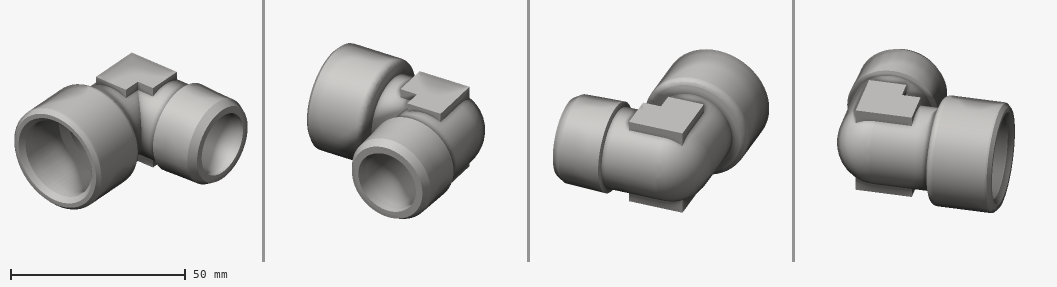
import cadquery as cq
import math

body_radius = 12.0
bore_radius = 9.5

drill_half_angle = math.radians(60)

socket_radius = 16.0
socket_end = 36.5
socket_shoulder = 16.8
socket_shoulder_slope = math.radians(15)
socket_shoulder_round = 2.0
socket_rim_chamfer = 1.08
socket_rim_band_radius = 15.93
socket_rim_band_width = 0.5

thread_radius = 24.12 / 2
thread_depth = 16.7
thread_mouth_radius = 13.5
thread_mouth_half_angle = math.radians(45)

male_end = 32.0
male_shoulder = 16.85
male_shoulder_slope = math.radians(18)
male_peak_radius = 13.44
male_taper = 1 / 32
male_chamfer_length = 2.4
male_chamfer_slope = math.radians(30)

pad_half_height = 13.5
pad_half_width = 5.5
pad_reach = 11.0


def revolve_about_x(outline):
    """Revolve an outline of (position, radius) points about the X axis."""
    return cq.Workplane("XY").polyline(outline).close().revolve(360, (0, 0, 0), (1, 0, 0))


def point_along_minus_y(solid):
    """Turn a solid built along +X so that it points along -Y."""
    return solid.rotate((0, 0, 0), (0, 0, 1), -90)


def round_edge(solid, position, radius):
    """Round the circular edge centred on the X axis at the given position."""
    return solid.edges(cq.NearestToPointSelector((position, 0, 0))).fillet(radius)


def make_body():
    """Two arms joined by a ball that rounds the outer corner."""
    x_arm = cq.Workplane("YZ").circle(body_radius).extrude(male_shoulder)
    y_arm = point_along_minus_y(cq.Workplane("YZ").circle(body_radius).extrude(socket_shoulder))
    ball = cq.Workplane("XY").sphere(body_radius)
    return x_arm.union(y_arm).union(ball)


def make_socket():
    """Female socket with a sloped, rounded shoulder and a chamfered rim."""
    shoulder_corner = socket_shoulder + (socket_radius - body_radius) * math.tan(socket_shoulder_slope)
    rim_corner = socket_end - socket_rim_chamfer
    socket = revolve_about_x([
        (socket_shoulder, 0),
        (socket_shoulder, body_radius),
        (shoulder_corner, socket_radius),
        (rim_corner - socket_rim_band_width, socket_radius),
        (rim_corner, socket_rim_band_radius),
        (socket_end, socket_rim_band_radius - socket_rim_chamfer),
        (socket_end, 0),
    ])
    socket = round_edge(socket, shoulder_corner, socket_shoulder_round)
    return point_along_minus_y(socket)


def make_male_end():
    """Tapered male end with a sloped shoulder and a chamfered tip."""
    peak = male_shoulder + (male_peak_radius - body_radius) * math.tan(male_shoulder_slope)
    chamfer_start = male_end - male_chamfer_length
    chamfer_start_radius = male_peak_radius - (chamfer_start - peak) * male_taper
    tip_radius = chamfer_start_radius - male_chamfer_length * math.tan(male_chamfer_slope)
    return revolve_about_x([
        (male_shoulder, 0),
        (male_shoulder, body_radius),
        (peak, male_peak_radius),
        (chamfer_start, chamfer_start_radius),
        (male_end, tip_radius),
        (male_end, 0),
    ])


def make_pads():
    """L-shaped block whose top and bottom form the two wrench pads."""
    return (
        cq.Workplane("XY")
        .workplane(offset=-pad_half_height)
        .moveTo(-pad_half_width, pad_half_width)
        .lineTo(pad_reach, pad_half_width)
        .lineTo(pad_reach, -pad_half_width)
        .lineTo(pad_half_width, -pad_half_width)
        .lineTo(pad_half_width, -pad_reach)
        .lineTo(-pad_half_width, -pad_reach)
        .close()
        .extrude(2 * pad_half_height)
    )


def make_bore(length):
    """Bore along +X whose conical bottom reaches past the elbow centre."""
    tip_depth = bore_radius / math.tan(drill_half_angle)
    return revolve_about_x([
        (-tip_depth, 0),
        (0, bore_radius),
        (length, bore_radius),
        (length, 0),
    ])


def make_thread_hole():
    """Threaded hole with a conical bottom and a countersunk mouth."""
    bottom = socket_end - thread_depth
    tip = bottom - thread_radius / math.tan(drill_half_angle)
    mouth_depth = (thread_mouth_radius - thread_radius) / math.tan(thread_mouth_half_angle)
    hole = revolve_about_x([
        (tip, 0),
        (bottom, thread_radius),
        (socket_end - mouth_depth, thread_radius),
        (socket_end, thread_mouth_radius),
        (socket_end, 0),
    ])
    return point_along_minus_y(hole)


outside = make_body().union(make_socket()).union(make_male_end()).union(make_pads())
result = (
    outside
    .cut(make_bore(male_end))
    .cut(point_along_minus_y(make_bore(socket_end)))
    .cut(make_thread_hole())
)